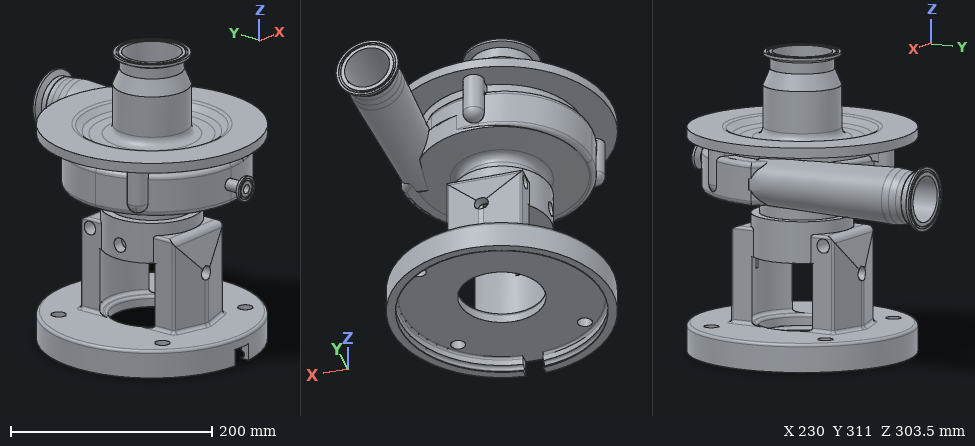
import cadquery as cq
import math

base_radius = 115.0
base_height = 29.2
edge_round = 3.0
base_bore_radius = 44.0
bolt_circle_radius = 93.3
bolt_hole_radius = 7.5
bolt_count = 4
bolt_start_angle = 45
cavity_radius = 105.7
cavity_height = 17.5
cavity_round = 2.5
groove_radius = 3.7
groove_center_z = 4.7
notch_width = 20.8
notch_height = cavity_height

leg_half_width = 39.2
leg_side_y = 59.0
ridge_y = 70.0
ridge_half_width = 2.8
leg_inner_radius = 52.5
leg_top_z = 127.5
slope_start_z = 87.5
slope_top_y = 58.0
slope_round = 9.3
leg_round = 2.8
leg_foot_round = 3.7
ridge_hole_radius = 7.0
ridge_hole_z = 85.2
ridge_hole_depth = 12.5
slit_width = 3.0
slit_height = 12.5
cross_hole_radius = 7.0
cross_hole_y = 47.5
cross_hole_z = 117.2

collar_radius = 51.3
collar_bottom_z = 98.3
collar_top_z = 140.5
collar_hole_radius = 7.5
collar_hole_z = 113.5
collar_hole_depth = 12.5
hub_radius = 42.5
hub_fillet = 8.7
cone_inner_z = 160.5
cone_radius = 87.0

casing_bottom_z = 163.5
casing_top_z = 207.7
casing_round = 5.3
volute_step = 5.3
volute_first_radius = 90.5
tongue_angle = math.radians(50)
outlet_z = (casing_bottom_z + casing_top_z) / 2

cover_radius = 115.0
cover_bottom_z = 217.0
cover_top_z = 227.3
cover_neck_radius = 83.7
recess_floor_radius = 62.8
recess_floor_round = 9.3
recess_rim_round = 5.3
recess_rim_radius = 79.5

boss_radius = 10.5
boss_circle_radius = 94.5
boss_end_z = 178.2
boss_web_start = 77.8
boss_web_top_z = 214.5
boss_angles = (90, 210, 330)

inlet_radius = 39.35
inlet_root_fillet = cover_top_z - cover_bottom_z
inlet_straight_top_z = 270.0
inlet_neck_radius = 32.3
inlet_neck_start_z = 286.5
inlet_rim_radius = 39.0
inlet_rim_top_z = 303.5
inlet_bore_radius = 30.2
inlet_groove_radius = 34.8

outlet_x = 81.2
outlet_end_y = 190.5
outlet_root_radius = 23.3
outlet_shoulder_radius = 28.5
outlet_shoulder_y = 157.0
outlet_bend_radius = 28.0
outlet_bend_y = 164.8
outlet_neck_radius = 26.7
outlet_neck_y = 172.3
outlet_sleeve_radius = 26.0
outlet_sleeve_y = 178.5
outlet_rim_radius = 32.3
outlet_bore_radius = 23.3
outlet_bore_start_y = 62.2
outlet_groove_radius = 28.5

drain_length = 120.5
drain_stem_radius = 6.2
drain_rim_radius = 13.0
drain_bore_radius = 4.7
drain_bore_depth = 37.3
drain_groove_radius = 9.5

rim_thickness = 2.8
rim_taper = 3.0
seal_groove_width = 2.2
seal_groove_depth = 1.2


class LegFoot(cq.Selector):
    """Picks the edges that lie flat on the base plate and do not belong to its bore."""

    def filter(self, objects):
        picked = []
        for edge in objects:
            on_top = abs(edge.Center().z - base_height) < 0.0003
            on_bore = edge.geomType() == "CIRCLE" and edge.radius() < leg_inner_radius - leg_foot_round
            if on_top and not on_bore:
                picked.append(edge)
        return picked


def disc(radius, bottom, top):
    return cq.Workplane("XY").workplane(offset=bottom).circle(radius).extrude(top - bottom)


def cylinder_along(plane, origin, radius, length):
    return cq.Workplane(plane, origin=origin).circle(radius).extrude(length)


def revolved(points):
    """Revolve an (r, z) outline about Z."""
    return cq.Workplane("XZ").polyline(points).close().revolve(360, (0, 0, 0), (0, 1, 0))


def seal_groove(radius, top):
    half = seal_groove_width / 2
    ring = cq.Workplane("XY").workplane(offset=top).circle(radius + half).circle(radius - half)
    return ring.extrude(-seal_groove_depth)


def make_base():
    """Round base plate, hollow underneath, with a notch through its rim."""
    base = disc(base_radius, 0, base_height).cut(disc(base_bore_radius, 0, base_height))
    base = base.faces(">Z").edges().fillet(edge_round)
    bolts = (
        cq.Workplane("XY")
        .polarArray(bolt_circle_radius, bolt_start_angle, 360, bolt_count)
        .circle(bolt_hole_radius)
        .extrude(base_height)
    )
    cavity = disc(cavity_radius, 0, cavity_height).faces(">Z").edges().fillet(cavity_round)
    groove = (
        cq.Workplane("XZ")
        .center(cavity_radius, groove_center_z)
        .circle(groove_radius)
        .revolve(360, (-cavity_radius, 0, 0), (-cavity_radius, 1, 0))
    )
    notch = cq.Workplane("XY").box(notch_width, base_radius, notch_height, centered=(True, False, False))
    notch = notch.translate((0, -base_radius, 0))
    return base.cut(bolts).cut(cavity).cut(groove).cut(notch)


def make_leg():
    """Leg on the -Y side: the overlap of its rounded plan, front and side outlines."""
    plan = (
        cq.Workplane("XY")
        .workplane(offset=base_height)
        .moveTo(-leg_half_width, 0)
        .lineTo(-leg_half_width, -leg_side_y)
        .lineTo(-ridge_half_width, -ridge_y)
        .lineTo(ridge_half_width, -ridge_y)
        .lineTo(leg_half_width, -leg_side_y)
        .lineTo(leg_half_width, 0)
        .close()
        .extrude(leg_top_z - base_height)
    )
    plan = plan.faces("<X or >X").edges("<Y").fillet(leg_round)
    front = cq.Workplane("XY").box(2 * leg_half_width, ridge_y, leg_top_z, centered=(True, False, False))
    front = front.translate((0, -ridge_y, 0)).faces(">Z").edges("|Y").fillet(leg_round)
    side = (
        cq.Workplane("YZ")
        .polyline(
            [(0, 0), (-ridge_y, 0), (-ridge_y, slope_start_z), (-slope_top_y, leg_top_z), (0, leg_top_z)]
        )
        .close()
        .extrude(leg_half_width, both=True)
    )
    side = side.faces(">Z").edges("<Y").fillet(slope_round)
    leg = plan.intersect(front).intersect(side)
    return leg.cut(disc(leg_inner_radius, 0, collar_bottom_z)).cut(disc(collar_radius, 0, leg_top_z))


def make_frame():
    """Base plate and both legs, with rounds at the feet."""
    leg = make_leg()
    frame = make_base().union(leg).union(leg.mirror("XZ"))
    reach = leg_half_width + edge_round
    foot = cq.selectors.BoxSelector(
        (-reach, -base_radius, base_height - edge_round / 2),
        (reach, base_radius, base_height + edge_round / 2),
        boundingbox=True,
    )
    return frame.edges(foot).edges(LegFoot()).fillet(leg_foot_round)


def make_leg_holes():
    """Blind ridge holes with a slit running through, and the hole across the +Y leg."""
    holes = cq.Workplane("XY").box(slit_width, 2 * ridge_y, slit_height).translate((0, 0, ridge_hole_z))
    hole = cylinder_along("XZ", (0, -ridge_y, ridge_hole_z), ridge_hole_radius, -ridge_hole_depth)
    holes = holes.union(hole).union(hole.mirror("XZ"))
    origin = (-leg_half_width, cross_hole_y, cross_hole_z)
    return holes.union(cylinder_along("YZ", origin, cross_hole_radius, 2 * leg_half_width))


def make_hub():
    """Collar, neck and the shallow cone under the casing."""
    neck_end = hub_radius + hub_fillet
    bend = hub_fillet * (1 - math.sqrt(0.5))
    return (
        cq.Workplane("XZ")
        .moveTo(0, collar_bottom_z)
        .lineTo(collar_radius, collar_bottom_z)
        .lineTo(collar_radius, collar_top_z)
        .lineTo(hub_radius, collar_top_z)
        .lineTo(hub_radius, cone_inner_z - hub_fillet)
        .threePointArc((hub_radius + bend, cone_inner_z - bend), (neck_end, cone_inner_z))
        .lineTo(cone_radius, casing_bottom_z)
        .lineTo(cone_radius, outlet_z)
        .lineTo(0, outlet_z)
        .close()
        .revolve(360, (0, 0, 0), (0, 1, 0))
    )


def make_casing():
    """Volute outline of quarter arcs whose radius grows by one step each quarter."""
    half = volute_step / 2
    centers = [(-half, half), (-half, -half), (half, -half), (half, half)]
    start = [tongue_angle, math.pi / 2, math.pi, 1.5 * math.pi]
    end = start[1:] + [2 * math.pi]

    def on_arc(index, angle):
        radius = volute_first_radius + (index - 1) * volute_step
        x, y = centers[index]
        return (x + radius * math.cos(angle), y + radius * math.sin(angle))

    outline = cq.Workplane("XY").workplane(offset=casing_bottom_z).moveTo(*on_arc(0, start[0]))
    for index in range(len(centers)):
        middle = (start[index] + end[index]) / 2
        outline = outline.threePointArc(on_arc(index, middle), on_arc(index, end[index]))
    casing = outline.close().extrude(casing_top_z - casing_bottom_z)
    return casing.faces("<Z or >Z").edges().fillet(casing_round)


def make_boss(angle):
    """Round-ended boss hanging from the cover, with a web in to the neck."""
    boss = disc(boss_radius, boss_end_z, cover_bottom_z)
    boss = boss.union(cq.Workplane("XY").sphere(boss_radius).translate((0, 0, boss_end_z)))
    boss = boss.translate((boss_circle_radius, 0, 0))
    web_length = boss_circle_radius - boss_web_start
    web_height = boss_web_top_z - casing_top_z + casing_round
    web = cq.Workplane("XY").box(web_length, 2 * boss_radius, web_height, centered=(False, True, False))
    boss = boss.union(web.translate((boss_web_start, 0, casing_top_z - casing_round)))
    return boss.rotate((0, 0, 0), (0, 0, 1), angle)


def make_cover():
    """Cover flange with a dished recess and the inlet pipe rising from its middle."""
    diagonal = math.sqrt(0.5)
    floor_run = recess_floor_round * diagonal
    floor_rise = recess_floor_round * (1 - diagonal)
    rim_run = recess_rim_round * diagonal
    rim_rise = recess_rim_round * (1 - diagonal)
    root_bend = inlet_root_fillet * (1 - diagonal)
    half_bend = math.radians(22.5)
    floor_mid = (
        recess_floor_radius + recess_floor_round * math.sin(half_bend),
        cover_bottom_z + recess_floor_round * (1 - math.cos(half_bend)),
    )
    rim_mid = (
        recess_rim_radius - recess_rim_round * math.sin(half_bend),
        cover_top_z - recess_rim_round * (1 - math.cos(half_bend)),
    )
    return (
        cq.Workplane("XZ")
        .moveTo(0, casing_top_z - casing_round)
        .lineTo(cover_neck_radius, casing_top_z - casing_round)
        .lineTo(cover_neck_radius, cover_bottom_z)
        .lineTo(cover_radius, cover_bottom_z)
        .lineTo(cover_radius, cover_top_z)
        .lineTo(recess_rim_radius, cover_top_z)
        .threePointArc(rim_mid, (recess_rim_radius - rim_run, cover_top_z - rim_rise))
        .lineTo(recess_floor_radius + floor_run, cover_bottom_z + floor_rise)
        .threePointArc(floor_mid, (recess_floor_radius, cover_bottom_z))
        .lineTo(inlet_radius + inlet_root_fillet, cover_bottom_z)
        .threePointArc(
            (inlet_radius + root_bend, cover_bottom_z + root_bend), (inlet_radius, cover_top_z)
        )
        .lineTo(inlet_radius, inlet_straight_top_z)
        .lineTo(inlet_neck_radius, inlet_neck_start_z)
        .lineTo(inlet_neck_radius, inlet_rim_top_z - rim_thickness - rim_taper)
        .lineTo(inlet_rim_radius, inlet_rim_top_z - rim_thickness)
        .lineTo(inlet_rim_radius, inlet_rim_top_z)
        .lineTo(0, inlet_rim_top_z)
        .close()
        .revolve(360, (0, 0, 0), (0, 1, 0))
    )


def lay_outlet(shape):
    """Turn a shape made about Z so it lies along +Y on the outlet axis."""
    return shape.rotate((0, 0, 0), (1, 0, 0), -90).translate((outlet_x, 0, outlet_z))


def lay_drain(shape):
    """Turn a shape made about Z so it lies along -Y on the drain axis."""
    return shape.rotate((0, 0, 0), (1, 0, 0), 90).translate((0, 0, outlet_z))


def make_outlet():
    pipe = revolved(
        [
            (0, 0),
            (outlet_root_radius, 0),
            (outlet_shoulder_radius, outlet_shoulder_y),
            (outlet_bend_radius, outlet_bend_y),
            (outlet_neck_radius, outlet_neck_y),
            (outlet_neck_radius, outlet_sleeve_y),
            (outlet_sleeve_radius, outlet_sleeve_y),
            (outlet_sleeve_radius, outlet_end_y - rim_thickness - rim_taper),
            (outlet_rim_radius, outlet_end_y - rim_thickness),
            (outlet_rim_radius, outlet_end_y),
            (0, outlet_end_y),
        ]
    )
    return lay_outlet(pipe.cut(seal_groove(outlet_groove_radius, outlet_end_y)))


def make_drain():
    stem = revolved(
        [
            (0, 0),
            (drain_stem_radius, 0),
            (drain_stem_radius, drain_length - rim_thickness - rim_taper),
            (drain_rim_radius, drain_length - rim_thickness),
            (drain_rim_radius, drain_length),
            (0, drain_length),
        ]
    )
    return lay_drain(stem.cut(seal_groove(drain_groove_radius, drain_length)))


result = make_frame().union(make_hub()).union(make_casing()).union(make_cover())
result = result.union(make_outlet()).union(make_drain())
for boss_angle in boss_angles:
    result = result.union(make_boss(boss_angle))
result = result.cut(make_leg_holes())

result = result.cut(disc(inlet_bore_radius, casing_bottom_z, inlet_rim_top_z))
result = result.cut(seal_groove(inlet_groove_radius, inlet_rim_top_z))
result = result.cut(lay_outlet(disc(outlet_bore_radius, outlet_bore_start_y, outlet_end_y)))
result = result.cut(lay_drain(disc(drain_bore_radius, drain_length - drain_bore_depth, drain_length)))
result = result.cut(
    cylinder_along("YZ", (-collar_radius, 0, collar_hole_z), collar_hole_radius, collar_hole_depth)
)